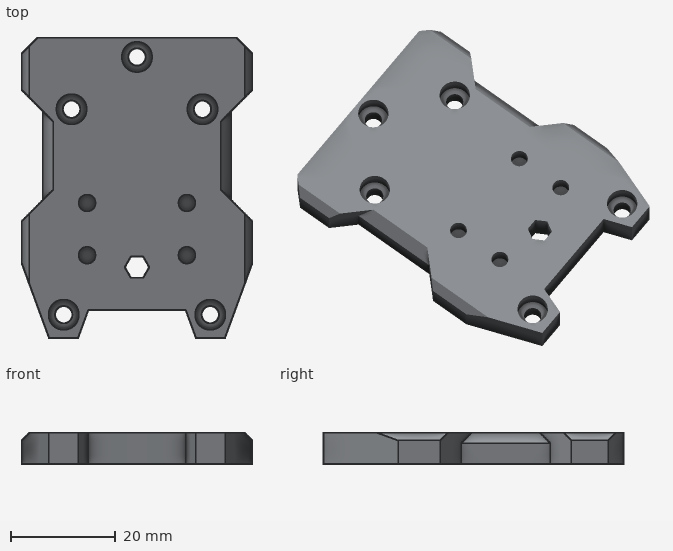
import cadquery as cq
import math

length = 57.3
half_width = 22.0
thickness = 6.0
rear_corner = 3.0

waist_half_width = 16.0
waist_rear_y = 41.3
waist_front_y = 28.3
waist_chamfer = 2.0
wing_step = half_width - waist_half_width

wing_front_y = 14.25
foot_outer_x = 16.8
foot_width = 5.55
foot_length = 5.35
foot_slope = (half_width - foot_outer_x) / wing_front_y

wing_chamfer = 1.5

screw_diameter = 3.25
counterbore_diameter = 5.8
counterbore_depth = 3.0
rear_screw_y = 53.65
middle_screw_x = 12.5
middle_screw_y = 43.65
foot_screw_x = 14.0
foot_screw_y = 4.45

blind_diameter = 3.2
blind_depth = 3.0
blind_x = 9.5
blind_rows_y = (15.8, 25.8)

hex_y = 13.5
hex_across_flats = 4.0


def make_plate():
    """Extrude the outline, with the waist cut in to its width at the top face."""
    foot_inner_x = foot_outer_x - foot_width
    right_side = [
        (foot_inner_x - foot_slope * foot_length, foot_length),
        (foot_inner_x, 0),
        (foot_outer_x, 0),
        (half_width, wing_front_y),
        (half_width, waist_front_y - wing_step),
        (waist_half_width, waist_front_y),
        (waist_half_width, waist_rear_y),
        (half_width, waist_rear_y + wing_step),
        (half_width, length - rear_corner),
        (half_width - rear_corner, length),
    ]
    left_side = [(-x, y) for x, y in reversed(right_side)]
    return cq.Workplane("XY").polyline(right_side + left_side).close().extrude(thickness)


def make_bar(half_bar_width, chamfer, start_y, end_y):
    """Bar along Y whose two upper edges carry a 45 degree chamfer."""
    bar = cq.Workplane("XY").box(
        2 * half_bar_width, end_y - start_y, thickness, centered=(True, False, False)
    )
    return bar.edges("|Y and >Z").chamfer(chamfer).translate((0, start_y, 0))


plate = make_plate().intersect(make_bar(half_width, wing_chamfer, 0, length))
waist = make_bar(
    waist_half_width + waist_chamfer,
    waist_chamfer,
    waist_front_y - waist_chamfer,
    waist_rear_y + waist_chamfer,
)
plate = plate.union(waist)

screw_points = [(0, rear_screw_y)]
for side in (-1, 1):
    screw_points.append((side * middle_screw_x, middle_screw_y))
    screw_points.append((side * foot_screw_x, foot_screw_y))

top_face = cq.Workplane("XY", origin=(0, 0, thickness))
screw_bores = top_face.pushPoints(screw_points).circle(screw_diameter / 2).extrude(-thickness)
counterbores = (
    top_face.pushPoints(screw_points).circle(counterbore_diameter / 2).extrude(-counterbore_depth)
)

blind_points = [(side * blind_x, y) for side in (-1, 1) for y in blind_rows_y]
blind_holes = top_face.pushPoints(blind_points).circle(blind_diameter / 2).extrude(-blind_depth)

hex_across_corners = hex_across_flats / math.cos(math.pi / 6)
hex_opening = top_face.center(0, hex_y).polygon(6, hex_across_corners).extrude(-thickness)

result = plate.cut(screw_bores).cut(counterbores).cut(blind_holes).cut(hex_opening)